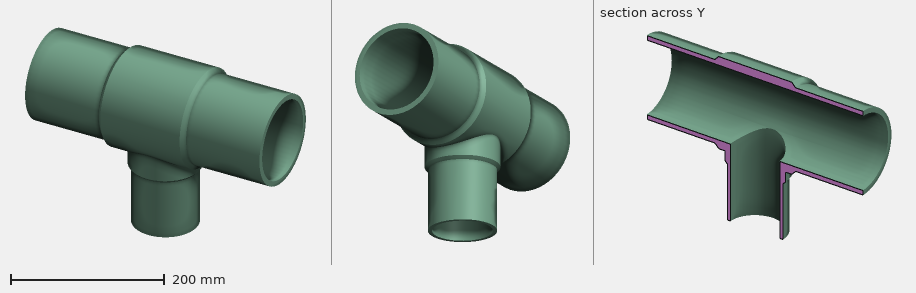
import cadquery as cq

run_length = 348.0
run_diameter = 125.0
run_bore = 110.3

sleeve_length = 130.0
sleeve_diameter = 137.5
sleeve_bevel = (sleeve_diameter - run_diameter) / 2

overall_height = 238.7
branch_reach = overall_height - sleeve_diameter / 2
branch_diameter = 90.0
branch_bore = 79.5
collar_reach = 87.0
collar_diameter = 99.0
collar_bevel = (collar_diameter - branch_diameter) / 2


def run_cylinder(diameter, length):
    """Cylinder along X, centred on the origin."""
    return cq.Workplane("YZ").circle(diameter / 2).extrude(length / 2, both=True)


def branch_cylinder(diameter, reach):
    """Cylinder from the run axis down to the given reach."""
    return cq.Workplane("XY").circle(diameter / 2).extrude(-reach)


def bevelled_sleeve():
    """Revolved sleeve whose ends taper to the run pipe surface."""
    half = sleeve_length / 2
    shoulder = half - sleeve_bevel
    return (
        cq.Workplane("XY")
        .moveTo(-half, 0)
        .lineTo(-half, run_diameter / 2)
        .lineTo(-shoulder, sleeve_diameter / 2)
        .lineTo(shoulder, sleeve_diameter / 2)
        .lineTo(half, run_diameter / 2)
        .lineTo(half, 0)
        .close()
        .revolve(360, (0, 0, 0), (1, 0, 0))
    )


def bevelled_collar():
    """Collar whose lower end tapers to the branch pipe surface."""
    return (
        cq.Workplane("XZ")
        .lineTo(collar_diameter / 2, 0)
        .lineTo(collar_diameter / 2, -collar_reach + collar_bevel)
        .lineTo(branch_diameter / 2, -collar_reach)
        .lineTo(0, -collar_reach)
        .close()
        .revolve(360, (0, 0, 0), (0, 1, 0))
    )


body = (
    run_cylinder(run_diameter, run_length)
    .union(bevelled_sleeve())
    .union(branch_cylinder(branch_diameter, branch_reach))
    .union(bevelled_collar())
)

result = (
    body
    .cut(run_cylinder(run_bore, run_length))
    .cut(branch_cylinder(branch_bore, branch_reach))
)